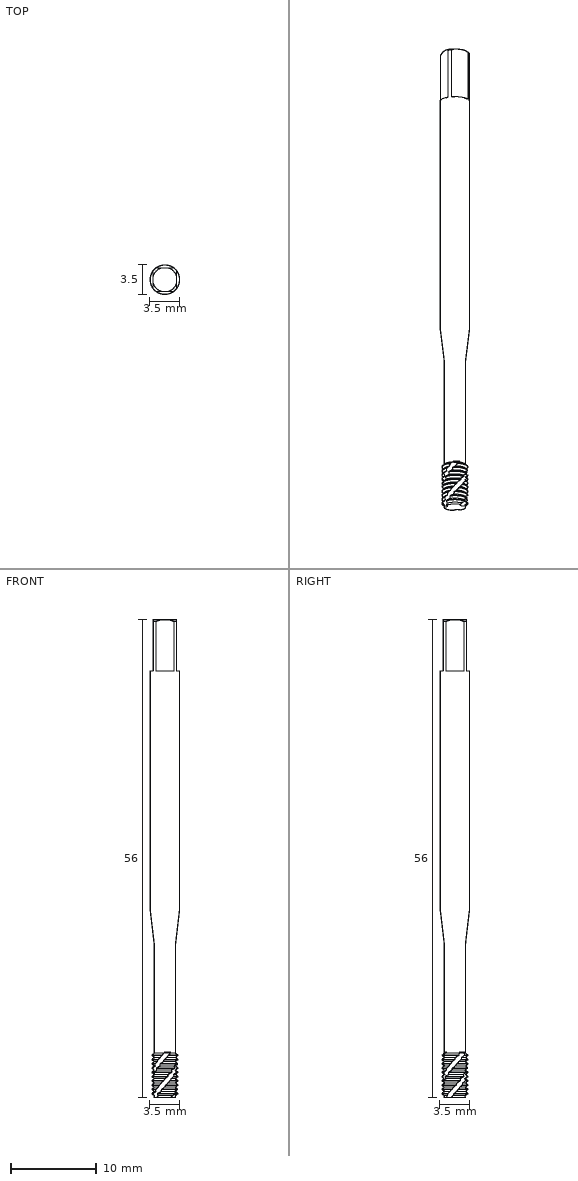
import cadquery as cq
import math

TOTAL_LENGTH = 56.0
SHANK_DIAMETER = 3.5
SQUARE_WIDTH = 2.75
SQUARE_LENGTH = 6.0
END_CHAMFER_WIDTH = 0.31
END_CHAMFER_HEIGHT = 0.2
CONE_TOP_Z = 22.0
CONE_BOTTOM_Z = 18.0
NECK_DIAMETER = 2.5

THREAD_DIAMETER = 3.0
THREAD_PITCH = 0.5
RIDGE_COUNT = 10
CREST_FLAT = THREAD_PITCH / 8
TIP_LENGTH = 0.2
HEAD_LENGTH = TIP_LENGTH + RIDGE_COUNT * THREAD_PITCH

FLUTE_COUNT = 3
FLUTE_RADIUS = 0.4
FLUTE_CENTER_RADIUS = 1.35
FLUTE_HELIX_ANGLE = 45.0
FLUTE_LEAD = math.pi * THREAD_DIAMETER / math.tan(math.radians(FLUTE_HELIX_ANGLE))
FLUTE_RUNOUT = 0.1
FLUTE_START_ANGLE = 84.0

SHANK_RADIUS = SHANK_DIAMETER / 2
NECK_RADIUS = NECK_DIAMETER / 2
THREAD_RADIUS = THREAD_DIAMETER / 2


def revolved(profile):
    """Turn a closed outline of (radius, z) points around the Z axis."""
    return cq.Workplane("XZ").polyline(profile).close().revolve(360, (0, 0), (0, 1))


def make_flute_cutters():
    """Right-handed helical cutters that run out just above the thread."""
    height = HEAD_LENGTH + FLUTE_RUNOUT
    twist = 360 * height / FLUTE_LEAD
    cutters = []
    for index in range(FLUTE_COUNT):
        cutter = (
            cq.Workplane("XY")
            .moveTo(FLUTE_CENTER_RADIUS, 0)
            .circle(FLUTE_RADIUS)
            .twistExtrude(height, twist)
        )
        angle = FLUTE_START_ANGLE + index * 360 / FLUTE_COUNT
        cutters.append(cutter.rotate((0, 0, 0), (0, 0, 1), angle))
    return cutters


def make_drive_square_cut():
    """Material to remove around the drive square."""
    return (
        cq.Workplane("XY", origin=(0, 0, TOTAL_LENGTH - SQUARE_LENGTH))
        .rect(2 * SHANK_DIAMETER, 2 * SHANK_DIAMETER)
        .rect(SQUARE_WIDTH, SQUARE_WIDTH)
        .extrude(SQUARE_LENGTH)
    )


def make_shank(flute_cutters):
    """Round shank with a drive square on top and a neck that meets the head."""
    shank = revolved([
        (0, HEAD_LENGTH),
        (NECK_RADIUS, HEAD_LENGTH),
        (NECK_RADIUS, CONE_BOTTOM_Z),
        (SHANK_RADIUS, CONE_TOP_Z),
        (SHANK_RADIUS, TOTAL_LENGTH - END_CHAMFER_HEIGHT),
        (SHANK_RADIUS - END_CHAMFER_WIDTH, TOTAL_LENGTH),
        (0, TOTAL_LENGTH),
    ])
    shank = shank.cut(make_drive_square_cut())
    for cutter in flute_cutters:
        shank = shank.cut(cutter)
    return shank


def make_cutting_head(flute_cutters):
    """Cutting head with parallel thread ridges and helical flutes."""
    profile = [(0, 0), (NECK_RADIUS, 0)]
    for ridge in range(RIDGE_COUNT):
        root_z = TIP_LENGTH + ridge * THREAD_PITCH
        crest_z = root_z + THREAD_PITCH / 2
        profile += [
            (NECK_RADIUS, root_z),
            (THREAD_RADIUS, crest_z - CREST_FLAT / 2),
            (THREAD_RADIUS, crest_z + CREST_FLAT / 2),
        ]
    profile += [(NECK_RADIUS, HEAD_LENGTH), (0, HEAD_LENGTH)]
    head = revolved(profile)
    for cutter in flute_cutters:
        head = head.cut(cutter)
    return head


flute_cutters = make_flute_cutters()
shank = make_shank(flute_cutters)
cutting_head = make_cutting_head(flute_cutters)

result = cq.Compound.makeCompound([*shank.solids().vals(), *cutting_head.solids().vals()])